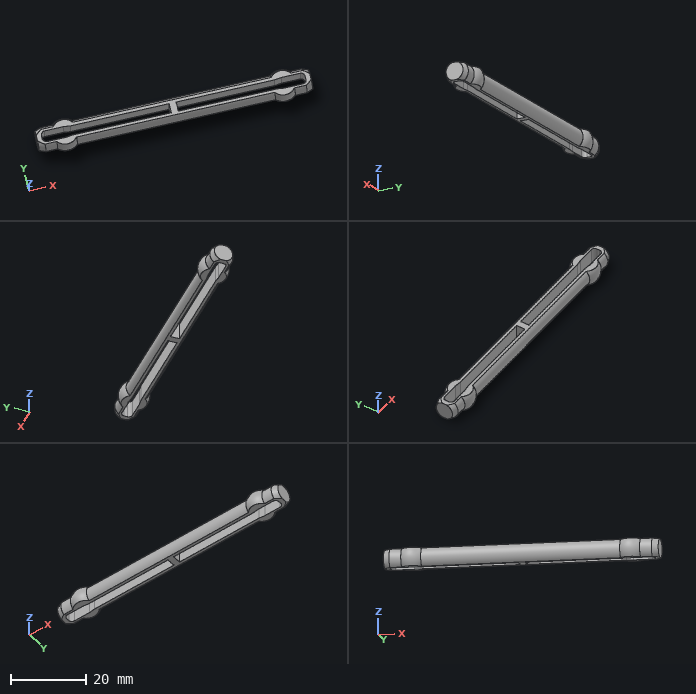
import cadquery as cq

length = 75.0
thickness = 5.0
bar_radius = 3.3
half_length = length / 2

nose_radius = 2.6
nose_length = 1.7

ball_radius = 4.3
ball_to_end = 7.65
ball_center = half_length - ball_to_end

end_wall = 1.4
web_width = 1.95
slot_width = 2.55
pocket_width = 3.0
pocket_corner_radius = 1.05
flare_length = 1.9
slot_outer_end = half_length - end_wall
slot_inner_end = web_width / 2
flare_inner_end = ball_center - flare_length


def round_bar():
    """Solid of revolution about X with a conical nose on each end."""
    profile = (
        cq.Workplane("XY")
        .moveTo(-half_length, 0)
        .lineTo(-half_length, nose_radius)
        .lineTo(-half_length + nose_length, bar_radius)
        .lineTo(half_length - nose_length, bar_radius)
        .lineTo(half_length, nose_radius)
        .lineTo(half_length, 0)
        .close()
    )
    return profile.revolve(360, (0, 0, 0), (1, 0, 0))


def ball(side):
    """Sphere centred on the bar axis; side is -1 or +1 along X."""
    return cq.Workplane("XY").sphere(ball_radius).translate((side * ball_center, 0, 0))


def slot(side):
    """Through slot on one side of the web, flaring to a pocket with rounded outer corners."""
    half_outline = [
        (slot_inner_end, slot_width / 2),
        (flare_inner_end, slot_width / 2),
        (ball_center, pocket_width / 2),
        (slot_outer_end, pocket_width / 2),
    ]
    upper = [(side * x, y) for x, y in half_outline]
    lower = [(x, -y) for x, y in reversed(upper)]
    cutter = cq.Workplane("XY").polyline(upper + lower).close().extrude(thickness / 2, both=True)
    outer_end = ">X" if side > 0 else "<X"
    return cutter.faces(outer_end).edges("|Z").fillet(pocket_corner_radius)


sides = (-1, 1)
body = round_bar()
for side in sides:
    body = body.union(ball(side))

body = body.intersect(cq.Workplane("XY").box(length, 2 * ball_radius, thickness))

for side in sides:
    body = body.cut(slot(side))

result = body